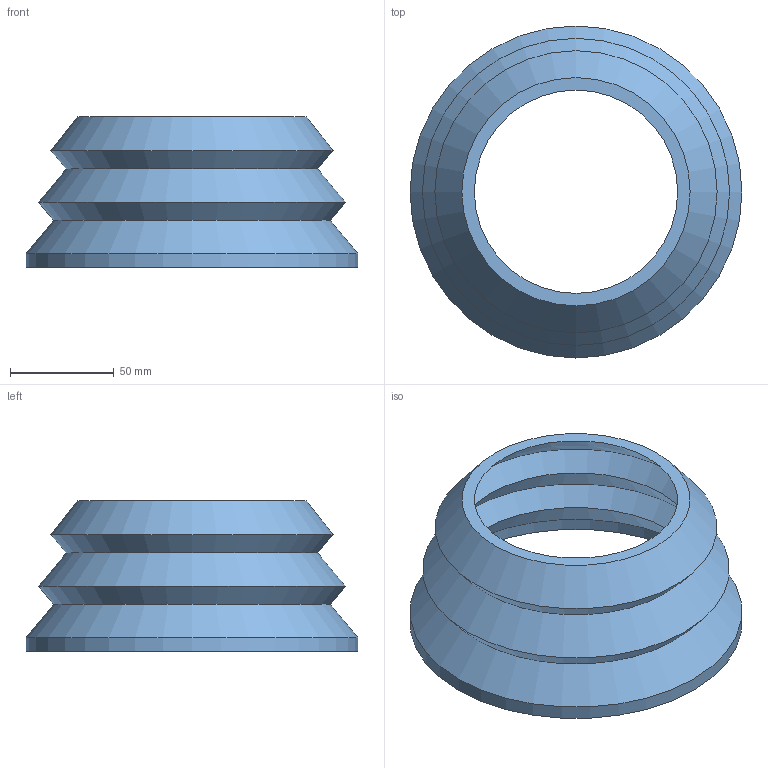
import cadquery as cq
import math

base_radius = 80.0
total_height = 72.73
collar_height = 6.7
crest_count = 3
crest_step = 6.0
fold_inset = 13.4
fold_angle = 50.0
wall = 2.0
rim_outer_radius = 55.0
rim_inner_radius = 49.0

steepness = math.tan(math.radians(fold_angle))
fold_rise = fold_inset * steepness
undercut_rise = (fold_inset - crest_step) * steepness
crest_pitch = fold_rise + undercut_rise

sloped_wall = wall / math.sin(math.radians(fold_angle))
inner_collar_height = collar_height - (sloped_wall - wall) * steepness


def crest(index):
    """Outer (radius, height) of a crest, counted from the lowest."""
    return (base_radius - index * crest_step, collar_height + index * crest_pitch)


def corners_above_collar():
    """Outer valleys and crests between the collar and the top cone, going up."""
    corners = []
    for index in range(crest_count - 1):
        crest_radius, crest_height = crest(index)
        corners.append((crest_radius - fold_inset, crest_height + fold_rise))
        corners.append(crest(index + 1))
    return corners


def wall_profile():
    """Closed half section of the wall, up the outside and back down the inside."""
    corners = corners_above_collar()
    inner_corners = [(radius - sloped_wall, height) for radius, height in reversed(corners)]
    collar_inner_radius = base_radius - wall

    outside = [(base_radius, 0.0), crest(0)] + corners
    rim = [(rim_outer_radius, total_height), (rim_inner_radius, total_height)]
    inner_collar = [(collar_inner_radius, inner_collar_height), (collar_inner_radius, 0.0)]
    return cq.Workplane("XZ").polyline(outside + rim + inner_corners + inner_collar).close()


def make_bellows():
    """Revolve the half section about the Z axis."""
    return wall_profile().revolve(360, (0, 0, 0), (0, 1, 0))


result = make_bellows()